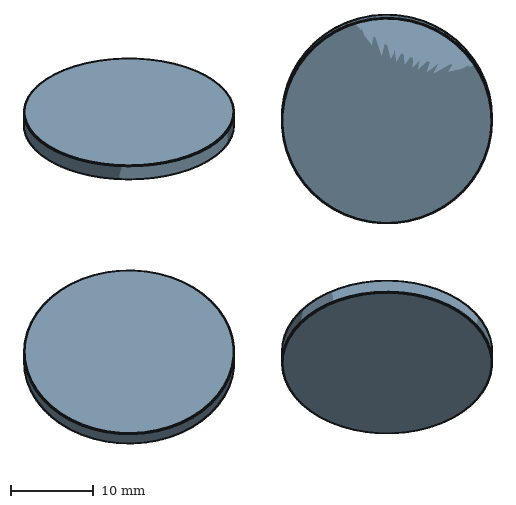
import cadquery as cq

diameter = 25.4
height = 2.85
convex_sag = 0.81
concave_sag = 0.23
bevel = 0.13

radius = diameter / 2
face_radius = radius - bevel


def sag_at(r, sag):
    """Height above the vertex of a spherical face of the given sag, at distance r from the axis."""
    sphere_radius = (face_radius**2 + sag**2) / (2 * sag)
    return sphere_radius - (sphere_radius**2 - r**2) ** 0.5


top_vertex = height - concave_sag
mid_radius = face_radius / 2

half_section = (
    cq.Workplane("XZ")
    .threePointArc((mid_radius, sag_at(mid_radius, convex_sag)), (face_radius, convex_sag))
    .lineTo(radius, convex_sag + bevel)
    .lineTo(radius, height - bevel)
    .lineTo(face_radius, height)
    .threePointArc((mid_radius, top_vertex + sag_at(mid_radius, concave_sag)), (0, top_vertex))
    .close()
)

result = half_section.revolve(360, (0, 0, 0), (0, 1, 0)).rotate((0, 0, 0), (0, 0, 1), -90)